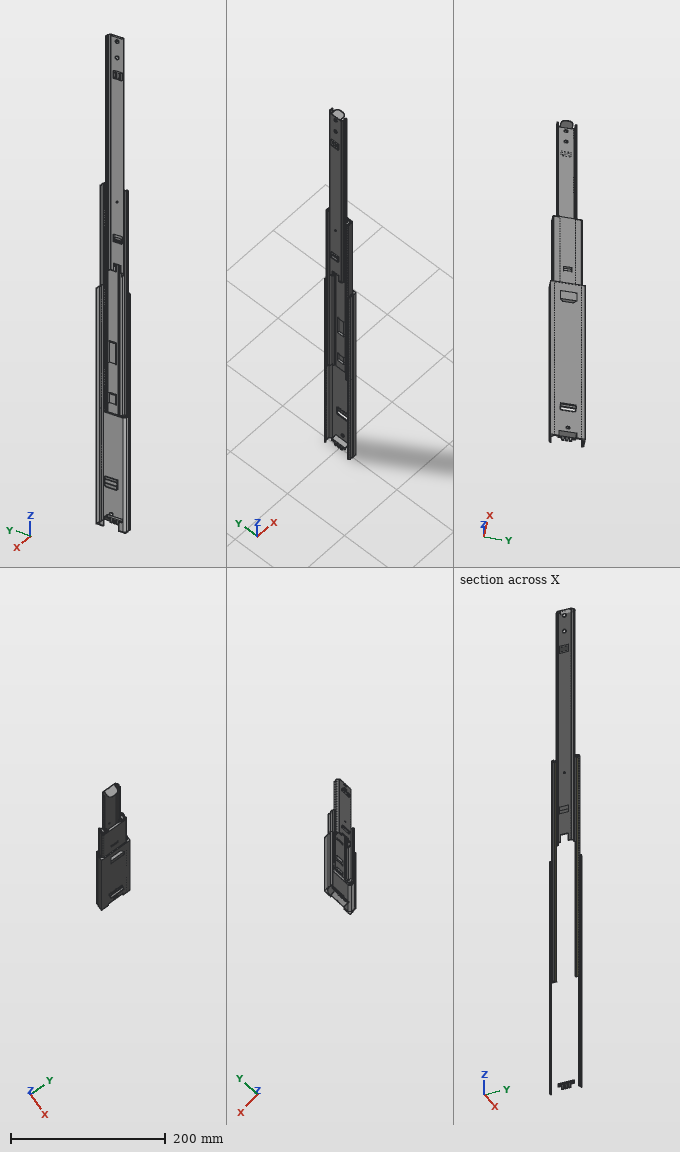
import cadquery as cq

TOP = 362.5
BOTTOM = -362.5
BACK = 10.5
FRONT = -10.5
RAIL_LENGTH = 350.0
WALL = 1.5
OVERCUT = 1.0

GROOVE_DEPTH = 1.0
GROOVE_HALF_WIDTH = 1.8

OUTER_FRONT = -6.5
OUTER_BACK = 6.5
OUTER_HALF_WIDTH = 22.85
OUTER_LIP_EDGE = 19.95
OUTER_BEVEL = 1.8
OUTER_GROOVE_X = -2.55
OUTER_THICKENING_EDGE = 17.75
OUTER_THICKENING = 2.55
OUTER_TOP = BOTTOM + RAIL_LENGTH
OUTER_HOLE_Z = -341.5
STUD_ROOT_HALF_WIDTH = 7.0
STUD_HALF_WIDTH = 11.0
STUD_Z = (-56.0, -38.0)
WINDOW_TOP = -288.0
WINDOW_BOTTOM = -303.0
WINDOW_HALF_WIDTH = 10.0
WINDOW_CORNER = 3.0
HOOK_FLAT_TOP = -291.0
HOOK_FLAT_BOTTOM = -296.5
HOOK_TIP_Z = -301.0
END_NOTCH_HALF_WIDTH = 11.5
END_NOTCH_HEIGHT = 11.0
END_STOP_HALF_WIDTH = END_NOTCH_HALF_WIDTH
END_STOP_FRONT = -3.0
END_STOP_SHELF = 2.0
END_STOP_APRON = 4.0
END_STOP_TOOTH_LENGTH = 5.0
END_STOP_TOOTH_HALF_WIDTH = 1.5
END_STOP_TOOTH_PITCH = 5.0
END_STOP_TEETH = 3

MIDDLE_FRONT = -6.5
MIDDLE_BACK = 4.0
MIDDLE_HALF_WIDTH = 19.5
MIDDLE_LIP_EDGE = 16.0
MIDDLE_CORNER = 2.0
MIDDLE_BEVEL = 1.5
MIDDLE_GROOVE_X = 0.0
MIDDLE_TOP = 140.0
MIDDLE_BOTTOM = -193.5
RIB_HEIGHT = 1.5
RIB_HALF_WIDTH = 8.0
RIB_FOOT_HALF_WIDTH = 10.0
SLOT_HALF_WIDTH = 5.45
MIDDLE_SLOTS = [(19.0, 27.5), (-119.0, -87.0), (-179.0, -164.0)]

INNER_FRONT = -9.0
INNER_BACK = -1.0
INNER_HALF_WIDTH = 13.0
INNER_FLAT_HALF_WIDTH = 10.0
INNER_SHOULDER_X = -5.0
INNER_BOTTOM = TOP - RAIL_LENGTH
INNER_GROOVE_X = -3.0
END_TAB_BACK = 3.5
END_TAB_HALF_WIDTH = 8.0
END_TAB_RADIUS = 6.0
SMALL_HOLE_Z = 116.0
SMALL_HOLE_RADIUS = 1.1
INNER_HOLES_Z = [354.5, 330.5]
UPPER_HOOK = (298.0, 309.0)
UPPER_HOOK_SLOT_Y = 3.0
UPPER_HOOK_SLOT_HALF_WIDTH = 1.5
UPPER_HOOK_SLOT_MARGIN = 2.0
LOWER_HOOK = (55.0, 65.0)
LOWER_HOOK_VALLEY = (56.5, 59.5, 61.5)
LOWER_HOOK_VALLEY_HALF_WIDTH = 5.0
INNER_HOOK_HALF_WIDTH = 6.5
INNER_NOTCH_HALF_WIDTH = 5.45
INNER_NOTCH_TOP = 23.0

SCREW_HOLE_RADIUS = 2.55

RETAINER_WALL = 1.5
INNER_RETAINER_TOP = 146.0
INNER_RETAINER_LEG_EDGES = (14.0, 17.0)
INNER_RETAINER_FOOT_EDGE = 10.0
INNER_RETAINER_TONGUE_EDGE = 12.0
INNER_RETAINER_FRONT = -4.0
INNER_RETAINER_BACK = 1.5
OUTER_RETAINER_EDGES = (19.95, 21.0)
OUTER_RETAINER_FRONT = -3.5
OUTER_RETAINER_BACK = 2.0


def box(x_range, y_range, z_range):
    """Box between two limits on each axis."""
    return cq.Workplane("XY").box(
        x_range[1] - x_range[0], y_range[1] - y_range[0], z_range[1] - z_range[0], centered=False
    ).translate((x_range[0], y_range[0], z_range[0]))


def centred_box(x_range, half_width, z_range):
    """Box centred on y = 0."""
    return box(x_range, (-half_width, half_width), z_range)


def both_sides(half):
    """A half at y >= 0 joined with its mirror image."""
    return half.union(half.mirror("XZ"))


def on_side(strip, side):
    """A strip at y > 0, mirrored when side is negative."""
    return strip if side > 0 else strip.mirror("XZ")


def cross_hole(radius, z):
    """Cutter for a round hole along X that passes through every web."""
    return cq.Workplane("YZ").center(0, z).circle(radius).extrude(BACK - FRONT).translate((FRONT, 0, 0))


def extruded(outline, z_range):
    """Closed outline of (x, y) points extruded along Z."""
    height = z_range[1] - z_range[0]
    return cq.Workplane("XY", origin=(0, 0, z_range[0])).polyline(outline).close().extrude(height)


def lipped_channel(front, back, half_width, lip_edge, bevel, groove_x, z_range):
    """Channel open toward -X, with bevelled lips turned inward and a ball groove in each flange."""
    body = centred_box((front, back), half_width, z_range).edges("|Z and <X").chamfer(bevel)
    cavity = centred_box((front + WALL, back - WALL), half_width - WALL, z_range)
    cavity = cavity.edges("|Z and <X").chamfer(bevel - WALL / 2)
    mouth = centred_box((front - OVERCUT, front + WALL + OVERCUT), lip_edge, z_range)
    half_groove = (
        cq.Workplane("XY", origin=(0, 0, z_range[0]))
        .moveTo(groove_x - GROOVE_HALF_WIDTH, half_width)
        .threePointArc((groove_x, half_width - GROOVE_DEPTH), (groove_x + GROOVE_HALF_WIDTH, half_width))
        .close()
        .extrude(z_range[1] - z_range[0])
    )
    return body.cut(cavity).cut(mouth).cut(half_groove).cut(half_groove.mirror("XZ"))


def make_window_hook():
    """Hook bent out of the outer web toward +X, hanging from the top of its window."""
    web_front = OUTER_BACK - WALL
    return (
        cq.Workplane("XZ")
        .polyline([
            (web_front, WINDOW_TOP),
            (OUTER_BACK, WINDOW_TOP),
            (OUTER_BACK + WALL, HOOK_FLAT_TOP),
            (OUTER_BACK + WALL, HOOK_FLAT_BOTTOM),
            (BACK, HOOK_FLAT_BOTTOM),
            (BACK, HOOK_TIP_Z),
            (BACK - WALL, HOOK_TIP_Z),
            (OUTER_BACK, HOOK_FLAT_BOTTOM),
            (OUTER_BACK, HOOK_FLAT_TOP),
        ])
        .close()
        .extrude(WINDOW_HALF_WIDTH, both=True)
    )


def make_end_stop():
    """Toothed apron folded from the bottom end of the outer web toward -X."""
    top = BOTTOM + END_NOTCH_HEIGHT + END_STOP_SHELF
    apron_bottom = top - END_STOP_APRON
    apron_x = (END_STOP_FRONT, END_STOP_FRONT + WALL)
    stop = centred_box((END_STOP_FRONT, OUTER_BACK), END_STOP_HALF_WIDTH, (top - END_STOP_SHELF, top))
    stop = stop.union(centred_box(apron_x, END_STOP_HALF_WIDTH, (apron_bottom, top)))
    tooth_z = (apron_bottom - END_STOP_TOOTH_LENGTH, apron_bottom)
    tooth = centred_box(apron_x, END_STOP_TOOTH_HALF_WIDTH, tooth_z)
    for index in range(END_STOP_TEETH):
        y = (index - (END_STOP_TEETH - 1) / 2) * END_STOP_TOOTH_PITCH
        stop = stop.union(tooth.translate((0, y, 0)))
    return stop


def make_outer_rail():
    z_range = (BOTTOM, OUTER_TOP)
    web_front = OUTER_BACK - WALL
    cut_x = (web_front - OVERCUT, OUTER_BACK + OVERCUT)
    rail = lipped_channel(
        OUTER_FRONT, OUTER_BACK, OUTER_HALF_WIDTH, OUTER_LIP_EDGE, OUTER_BEVEL, OUTER_GROOVE_X, z_range
    )
    thickening = extruded(
        [
            (web_front, OUTER_THICKENING_EDGE),
            (web_front - OUTER_THICKENING, OUTER_HALF_WIDTH - WALL),
            (web_front, OUTER_HALF_WIDTH - WALL),
        ],
        z_range,
    )
    rail = rail.union(both_sides(thickening))

    window = centred_box(cut_x, WINDOW_HALF_WIDTH, (WINDOW_BOTTOM, WINDOW_TOP))
    rail = rail.cut(window.edges("|X and <Z").fillet(WINDOW_CORNER)).union(make_window_hook())

    stud = extruded(
        [
            (OUTER_BACK, -STUD_ROOT_HALF_WIDTH),
            (BACK, -STUD_HALF_WIDTH),
            (BACK, STUD_HALF_WIDTH),
            (OUTER_BACK, STUD_ROOT_HALF_WIDTH),
        ],
        STUD_Z,
    )
    rail = rail.union(stud)

    rail = rail.cut(centred_box(cut_x, END_NOTCH_HALF_WIDTH, (BOTTOM, BOTTOM + END_NOTCH_HEIGHT)))
    rail = rail.cut(cross_hole(SCREW_HOLE_RADIUS, OUTER_HOLE_Z))
    return rail.union(make_end_stop())


def make_middle_rail():
    z_range = (MIDDLE_BOTTOM, MIDDLE_TOP)
    rail = lipped_channel(
        MIDDLE_FRONT, MIDDLE_BACK, MIDDLE_HALF_WIDTH, MIDDLE_LIP_EDGE, MIDDLE_BEVEL, MIDDLE_GROOVE_X, z_range
    )
    rail = rail.edges("|Z and >X").fillet(MIDDLE_CORNER)
    web_front = MIDDLE_BACK - WALL
    rib = extruded(
        [
            (web_front, -RIB_FOOT_HALF_WIDTH),
            (web_front - RIB_HEIGHT, -RIB_HALF_WIDTH),
            (web_front - RIB_HEIGHT, RIB_HALF_WIDTH),
            (web_front, RIB_FOOT_HALF_WIDTH),
        ],
        z_range,
    )
    rail = rail.union(rib)
    cut_x = (web_front - RIB_HEIGHT - OVERCUT, MIDDLE_BACK + OVERCUT)
    for slot in MIDDLE_SLOTS:
        rail = rail.cut(centred_box(cut_x, SLOT_HALF_WIDTH, slot))
    return rail


def make_upper_hook():
    """Raised pad of the inner rail with two upright slots."""
    x_range = (FRONT, INNER_FRONT)
    hook = centred_box(x_range, INNER_HOOK_HALF_WIDTH, UPPER_HOOK)
    slot_z = (UPPER_HOOK[0] + UPPER_HOOK_SLOT_MARGIN, UPPER_HOOK[1] - UPPER_HOOK_SLOT_MARGIN)
    slot = centred_box(x_range, UPPER_HOOK_SLOT_HALF_WIDTH, slot_z)
    for y in (-UPPER_HOOK_SLOT_Y, UPPER_HOOK_SLOT_Y):
        hook = hook.cut(slot.translate((0, y, 0)))
    return hook


def make_lower_hook():
    """Raised pad of the inner rail with a V-shaped valley across its face."""
    rim_low, valley_z, rim_high = LOWER_HOOK_VALLEY
    valley = (
        cq.Workplane("XZ")
        .polyline([(FRONT, rim_low), (INNER_FRONT, valley_z), (FRONT, rim_high)])
        .close()
        .extrude(LOWER_HOOK_VALLEY_HALF_WIDTH, both=True)
    )
    return centred_box((FRONT, INNER_FRONT), INNER_HOOK_HALF_WIDTH, LOWER_HOOK).cut(valley)


def make_inner_rail():
    inside = INNER_HALF_WIDTH - WALL
    half = (
        cq.Workplane("XY", origin=(0, 0, INNER_BOTTOM))
        .moveTo(INNER_FRONT, 0)
        .lineTo(INNER_FRONT, INNER_FLAT_HALF_WIDTH)
        .lineTo(INNER_SHOULDER_X, INNER_HALF_WIDTH)
        .lineTo(INNER_GROOVE_X - GROOVE_HALF_WIDTH, INNER_HALF_WIDTH)
        .threePointArc(
            (INNER_GROOVE_X, INNER_HALF_WIDTH - GROOVE_DEPTH),
            (INNER_GROOVE_X + GROOVE_HALF_WIDTH, INNER_HALF_WIDTH),
        )
        .lineTo(INNER_BACK, INNER_HALF_WIDTH)
        .lineTo(INNER_BACK, inside)
        .lineTo(INNER_GROOVE_X + GROOVE_HALF_WIDTH, inside)
        .threePointArc(
            (INNER_GROOVE_X, inside - GROOVE_DEPTH), (INNER_GROOVE_X - GROOVE_HALF_WIDTH, inside)
        )
        .lineTo(INNER_SHOULDER_X, inside)
        .lineTo(INNER_FRONT + WALL, INNER_FLAT_HALF_WIDTH)
        .lineTo(INNER_FRONT + WALL, 0)
        .close()
        .extrude(RAIL_LENGTH)
    )
    rail = both_sides(half)

    end_tab = centred_box((INNER_FRONT, END_TAB_BACK), END_TAB_HALF_WIDTH, (TOP - WALL, TOP))
    rail = rail.union(end_tab.edges("|Z and >X").fillet(END_TAB_RADIUS))

    rail = rail.union(make_upper_hook()).union(make_lower_hook())
    for z in INNER_HOLES_Z:
        rail = rail.cut(cross_hole(SCREW_HOLE_RADIUS, z))
    rail = rail.cut(cross_hole(SMALL_HOLE_RADIUS, SMALL_HOLE_Z))
    notch_z = (INNER_BOTTOM, INNER_NOTCH_TOP)
    return rail.cut(centred_box((FRONT, INNER_BACK), INNER_NOTCH_HALF_WIDTH, notch_z))


def make_inner_retainer(side):
    """Angle strip between the inner and the middle rail, with a tongue at its top end."""
    leg = box(
        (INNER_RETAINER_FRONT, INNER_RETAINER_BACK), INNER_RETAINER_LEG_EDGES, (MIDDLE_BOTTOM, MIDDLE_TOP)
    )
    foot = box(
        (INNER_RETAINER_BACK - RETAINER_WALL, INNER_RETAINER_BACK),
        (INNER_RETAINER_FOOT_EDGE, INNER_RETAINER_LEG_EDGES[0]),
        (MIDDLE_BOTTOM, MIDDLE_TOP),
    )
    tongue = box(
        (INNER_RETAINER_BACK - RETAINER_WALL, INNER_RETAINER_BACK),
        (INNER_RETAINER_FOOT_EDGE, INNER_RETAINER_TONGUE_EDGE),
        (MIDDLE_TOP, INNER_RETAINER_TOP),
    )
    return on_side(leg.union(foot).union(tongue), side)


def make_outer_retainer(side):
    """Flat strip between the middle and the outer rail."""
    strip = box(
        (OUTER_RETAINER_FRONT, OUTER_RETAINER_BACK), OUTER_RETAINER_EDGES, (MIDDLE_BOTTOM, OUTER_TOP)
    )
    return on_side(strip, side)


outer_rail = make_outer_rail()
middle_rail = make_middle_rail()
inner_rail = make_inner_rail()
retainers = []
for side in (1, -1):
    retainers.extend(make_inner_retainer(side).solids().vals())
    retainers.extend(make_outer_retainer(side).solids().vals())

result = cq.Compound.makeCompound([
    *outer_rail.solids().vals(),
    *middle_rail.solids().vals(),
    *inner_rail.solids().vals(),
    *retainers,
])